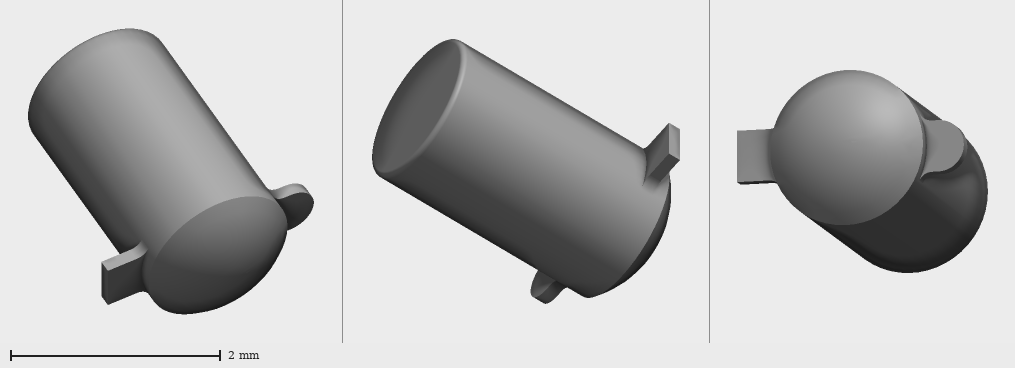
import cadquery as cq
import math

body_radius = 0.755
edge_rounding = 0.05
barrel_length = 2.437
overall_length = 2.76

tab_start = 2.163
tab_thickness = 0.13
tab_half_width = 0.25
tab_reach = 1.12
root_fillet = 0.14


def make_body():
    """Barrel with a rounded rim at the flat end and a spherical dome at the other."""
    dome_height = overall_length - barrel_length
    sphere_radius = (body_radius**2 + dome_height**2) / (2 * dome_height)
    sphere_center = overall_length - sphere_radius
    half_angle = math.asin(body_radius / sphere_radius) / 2
    dome_middle = (
        sphere_center + sphere_radius * math.cos(half_angle),
        sphere_radius * math.sin(half_angle),
    )
    return (
        cq.Workplane("XY")
        .lineTo(0, body_radius - edge_rounding)
        .radiusArc((edge_rounding, body_radius), edge_rounding)
        .lineTo(barrel_length, body_radius)
        .threePointArc(dome_middle, (overall_length, 0))
        .close()
        .revolve(360, (0, 0), (1, 0))
    )


def make_tab(side, rounded_tip):
    """Tab on the +Y (side = 1) or -Y (side = -1) flank, blended into the barrel."""
    fillet_center_z = tab_half_width + root_fillet
    fillet_center_y = math.sqrt((body_radius + root_fillet) ** 2 - fillet_center_z**2)
    contact_scale = body_radius / (body_radius + root_fillet)
    contact_y = side * contact_scale * fillet_center_y
    contact_z = contact_scale * fillet_center_z
    flat_start = side * fillet_center_y
    tip = side * tab_reach
    arc_radius = side * root_fillet

    outline = (
        cq.Workplane("YZ", origin=(tab_start, 0, 0))
        .moveTo(0, contact_z)
        .lineTo(contact_y, contact_z)
        .radiusArc((flat_start, tab_half_width), -arc_radius)
    )
    if rounded_tip:
        tip_center = side * (tab_reach - tab_half_width)
        outline = outline.lineTo(tip_center, tab_half_width)
        outline = outline.threePointArc((tip, 0), (tip_center, -tab_half_width))
    else:
        outline = outline.lineTo(tip, tab_half_width).lineTo(tip, -tab_half_width)
    return (
        outline.lineTo(flat_start, -tab_half_width)
        .radiusArc((contact_y, -contact_z), -arc_radius)
        .lineTo(0, -contact_z)
        .close()
        .extrude(tab_thickness)
    )


result = (
    make_body()
    .union(make_tab(side=1, rounded_tip=True))
    .union(make_tab(side=-1, rounded_tip=False))
)